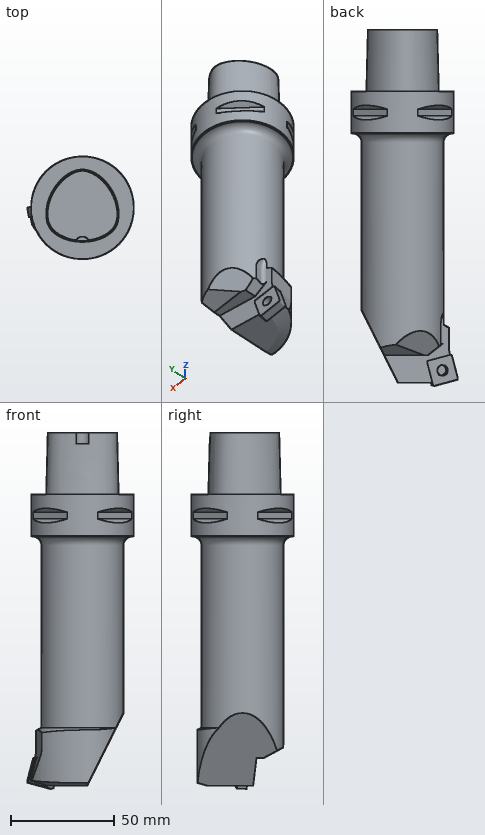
import cadquery as cq
import math


taper_length = 30.0
taper_base_radius = 17.65
taper_rate = 0.025
lobe_height = 1.0
curve_count = 6
curve_steps = 10
key_radius = 3.4
key_centre_y = -17.4
key_depth = 5.4

flange_radius = 25.0
flange_thickness = 20.6
flange_chamfer = 0.5
neck_fillet = 4.0
groove_count = 4
groove_z = -10.3
groove_floor_radius = 22.1
groove_floor_width = 3.2
groove_mouth_width = 7.1

shank_radius = 20.0
head_top = -113.2
head_bottom = -141.5
shoulder_angle = 30.0
bottom_flat_radius = 17.0
bottom_cone_slope = 0.29
front_y = -22.0
left_arc_radius = 28.5
right_arc_radius = 18.0
envelope_radius = 32.0
back_cut_top = -106.1
back_cut_slope = 0.5

insert_side = 12.7
insert_thickness = 4.76
insert_corner_radius = 0.8
insert_hole_diameter = 5.16
lead_angle = 15.0
insert_centre = (-19.41, 1.5, -135.42)

rake_rise_x = 0.18
rake_rise_z = 0.03

side_flat_offset = 3.15
side_clearance = 0.8
side_bend_radius = 9.0

pocket_wall_offset = 2.1
pocket_straight_top = 20.6
pocket_runout_radius = 14.0
pocket_runout_angle = 45.0
pocket_height = 15.0
pocket_floor_fillet = 2.0
ceiling_x = -18.3
ceiling_z = -123.3
ceiling_slope_x = -0.8
ceiling_bend_y = 9.2
ceiling_slope_y = 1.67
back_ceiling_z = -128.0
back_ceiling_bend_y = 10.3
back_ceiling_slope = 0.54

far = 60.0
overcut = 1.0

rake_plane = cq.Plane(
    origin=insert_centre,
    xDir=(1, rake_rise_x, 0),
    normal=(rake_rise_x, -1, rake_rise_z),
)


def polygon_section(height):
    """Three-lobed closed curve with one lobe on +Y."""
    mean_radius = taper_base_radius - taper_rate * height

    def point(angle):
        support = mean_radius - lobe_height * math.sin(3 * angle)
        support_rate = -3 * lobe_height * math.cos(3 * angle)
        x = support * math.cos(angle) - support_rate * math.sin(angle)
        y = support * math.sin(angle) + support_rate * math.cos(angle)
        return cq.Vector(x, y, height)

    span = 2 * math.pi / curve_count
    edges = []
    for index in range(curve_count):
        points = [point((index + step / curve_steps) * span) for step in range(curve_steps + 1)]
        edges.append(cq.Edge.makeSpline(points))
    return cq.Wire.assembleEdges(edges)


def make_taper():
    taper = cq.Workplane(
        cq.Solid.makeLoft([polygon_section(0), polygon_section(taper_length)], True)
    )
    keyway = (
        cq.Workplane("XY", origin=(0, key_centre_y, taper_length - key_depth))
        .circle(key_radius)
        .extrude(far)
    )
    return taper.cut(keyway)


def make_flange_and_shank():
    fillet_bottom = -flange_thickness - neck_fillet
    fillet_centre_radius = shank_radius + neck_fillet
    fillet_reach = neck_fillet * math.sqrt(0.5)
    return (
        cq.Workplane("XZ")
        .moveTo(0, 0)
        .lineTo(flange_radius, 0)
        .lineTo(flange_radius, flange_chamfer - flange_thickness)
        .lineTo(flange_radius - flange_chamfer, -flange_thickness)
        .lineTo(fillet_centre_radius, -flange_thickness)
        .threePointArc(
            (fillet_centre_radius - fillet_reach, fillet_bottom + fillet_reach),
            (shank_radius, fillet_bottom),
        )
        .lineTo(shank_radius, head_top)
        .lineTo(0, head_top)
        .close()
        .revolve(360, (0, 0, 0), (0, 1, 0))
    )


def make_gripper_groove(angle):
    """Trapezoidal groove across the flange rim, facing the given direction."""
    widening = (groove_mouth_width - groove_floor_width) / 2
    flare = widening / (flange_radius - groove_floor_radius)
    outer_radius = flange_radius + overcut
    outer_half = groove_floor_width / 2 + flare * (outer_radius - groove_floor_radius)
    return (
        cq.Workplane("XZ", origin=(0, 0, groove_z))
        .polyline([
            (groove_floor_radius, -groove_floor_width / 2),
            (outer_radius, -outer_half),
            (outer_radius, outer_half),
            (groove_floor_radius, groove_floor_width / 2),
        ])
        .close()
        .extrude(flange_radius, both=True)
        .rotate((0, 0, 0), (0, 0, 1), angle)
    )


def make_head_block():
    """Shank core plus the bulge on its -X, -Y side, trimmed by the two cones."""
    height = head_top - head_bottom
    left_centre_y = front_y + left_arc_radius
    right_centre_y = front_y + right_arc_radius
    diagonal = math.sqrt(0.5)
    base = cq.Workplane("XY", origin=(0, 0, head_bottom))
    bulge = (
        base.moveTo(0, front_y)
        .threePointArc(
            (-left_arc_radius * diagonal, left_centre_y - left_arc_radius * diagonal),
            (-left_arc_radius, left_centre_y),
        )
        .lineTo(0, left_centre_y)
        .lineTo(right_arc_radius, right_centre_y)
        .threePointArc(
            (right_arc_radius * diagonal, right_centre_y - right_arc_radius * diagonal),
            (0, front_y),
        )
        .close()
        .extrude(height)
    )
    core = base.circle(shank_radius).extrude(height)

    shoulder_fall = (envelope_radius - shank_radius) * math.tan(math.radians(shoulder_angle))
    bottom_rise = (envelope_radius - bottom_flat_radius) * bottom_cone_slope
    envelope = (
        cq.Workplane("XZ")
        .moveTo(0, head_top)
        .lineTo(shank_radius, head_top)
        .lineTo(envelope_radius, head_top - shoulder_fall)
        .lineTo(envelope_radius, head_bottom + bottom_rise)
        .lineTo(bottom_flat_radius, head_bottom)
        .lineTo(0, head_bottom)
        .close()
        .revolve(360, (0, 0, 0), (0, 1, 0))
    )
    return core.union(bulge).intersect(envelope)


def make_back_cut():
    """Wedge that slopes the +X side of the shank and head towards the bottom."""
    drop = back_cut_top - head_bottom + overcut
    foot_x = shank_radius - back_cut_slope * drop
    return (
        cq.Workplane("XZ")
        .polyline([
            (shank_radius + back_cut_slope * overcut, back_cut_top + overcut),
            (foot_x, back_cut_top - drop),
            (far, back_cut_top - drop),
            (far, back_cut_top + overcut),
        ])
        .close()
        .extrude(far, both=True)
    )


def make_side_cut():
    """Material outside the flat and the flank relief beside the insert."""
    lead = math.radians(lead_angle)
    relief_distance = insert_side / 2 - side_clearance
    flat_x = -side_flat_offset

    def relief_y(x):
        return (relief_distance + x * math.cos(lead)) / math.sin(lead)

    foot_x = flat_x - 2 * insert_side * math.sin(lead)
    cut = (
        cq.Workplane(rake_plane)
        .polyline([
            (flat_x, far),
            (flat_x, relief_y(flat_x)),
            (foot_x, relief_y(foot_x)),
            (-far, relief_y(foot_x)),
            (-far, far),
        ])
        .close()
        .extrude(far)
    )
    bend = cq.selectors.NearestToPointSelector(
        rake_plane.toWorldCoords((flat_x, relief_y(flat_x), far / 2)).toTuple()
    )
    return cut.edges(bend).fillet(side_bend_radius)


def make_chip_pocket():
    """Pocket beside the wall, with a floor fillet and an arc running out at its top."""
    runout_turn = math.radians(pocket_runout_angle)
    half_turn = runout_turn / 2
    r = pocket_runout_radius
    wall_x = pocket_wall_offset
    top = pocket_straight_top
    end = (wall_x - r * (1 - math.cos(runout_turn)), top + r * math.sin(runout_turn))
    middle = (wall_x - r * (1 - math.cos(half_turn)), top + r * math.sin(half_turn))
    return (
        cq.Workplane(rake_plane)
        .moveTo(-far, -far)
        .lineTo(wall_x, -far)
        .lineTo(wall_x, top)
        .threePointArc(middle, end)
        .lineTo(-far, end[1])
        .close()
        .extrude(-pocket_height)
    )


def fillet_pocket_floor(pocket):
    wall_foot = rake_plane.toWorldCoords((pocket_wall_offset, 0, 0)).toTuple()
    return pocket.edges(cq.selectors.NearestToPointSelector(wall_foot)).fillet(pocket_floor_fillet)


def make_chip_clearance():
    """Open space above the rake plane, under the sloping ceilings."""
    above_rake = cq.Workplane(rake_plane).rect(2 * far, 2 * far).extrude(-far)
    bottom = head_bottom - far

    run = 2 * far
    start_x = ceiling_x - far / 2
    start_z = ceiling_z + ceiling_slope_x * (start_x - ceiling_x)
    left_outline = cq.Wire.makePolygon([
        cq.Vector(start_x, -far, bottom),
        cq.Vector(start_x, -far, start_z),
        cq.Vector(start_x, ceiling_bend_y, start_z),
        cq.Vector(start_x, far, start_z + ceiling_slope_y * (far - ceiling_bend_y)),
        cq.Vector(start_x, far, bottom),
    ], close=True)
    left_space = cq.Workplane(
        cq.Solid.extrudeLinear(left_outline, [], cq.Vector(run, 0, ceiling_slope_x * run))
    )

    back_space = (
        cq.Workplane("YZ")
        .polyline([
            (-far, bottom),
            (-far, back_ceiling_z),
            (back_ceiling_bend_y, back_ceiling_z),
            (far, back_ceiling_z + back_ceiling_slope * (far - back_ceiling_bend_y)),
            (far, bottom),
        ])
        .close()
        .extrude(far, both=True)
    )
    return above_rake.intersect(left_space.union(back_space))


def make_insert_blank():
    return (
        cq.Workplane(rake_plane)
        .transformed(rotate=(0, 0, -lead_angle))
        .rect(insert_side, insert_side)
        .extrude(insert_thickness)
        .edges(cq.selectors.ParallelDirSelector(rake_plane.zDir))
        .fillet(insert_corner_radius)
    )


def make_insert():
    hole = cq.Workplane(rake_plane).circle(insert_hole_diameter / 2).extrude(insert_thickness)
    return make_insert_blank().cut(hole)


def make_holder():
    head = make_head_block().cut(make_side_cut())
    holder = make_flange_and_shank().union(make_taper()).union(head)
    for index in range(groove_count):
        holder = holder.cut(make_gripper_groove((index + 0.5) * 360 / groove_count))
    holder = holder.cut(make_back_cut())
    holder = holder.cut(fillet_pocket_floor(make_chip_pocket()))
    holder = holder.cut(make_chip_clearance())
    return holder.cut(make_insert_blank())


holder = make_holder()
insert = make_insert()

result = cq.Compound.makeCompound([holder.solids().val(), insert.solids().val()])